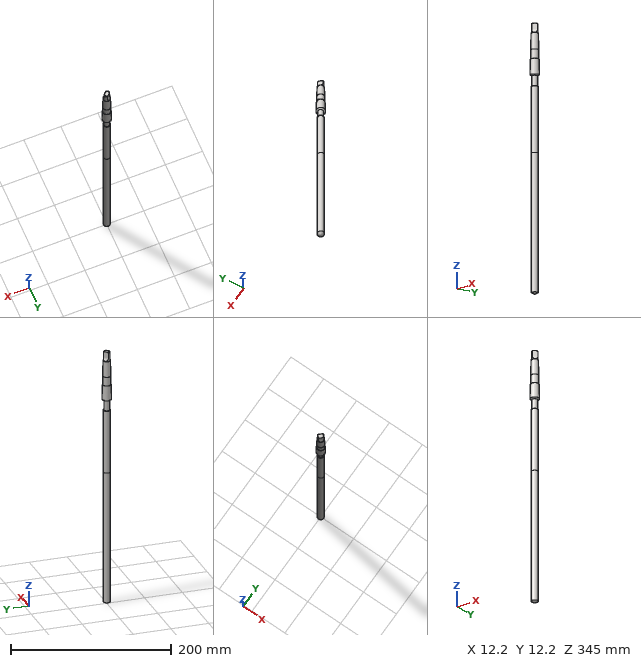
import cadquery as cq
import math

overall_length = 345.0
rod_diameter = 9.2
point_angle = 120.0
point_height = rod_diameter / 2 / math.tan(math.radians(point_angle / 2))
joint_z = 180.0
rod_top_z = 265.0
rod_top_chamfer = 0.5

neck_diameter = 7.5

taper_length = 65.5
taper_per_length = 0.04988
taper_large_diameter = 12.24
taper_bottom_z = overall_length - taper_length
underside_slope = 30.0
underside_height = (taper_large_diameter - neck_diameter) / 2 * math.tan(math.radians(underside_slope))

relief_diameter = 10.1
relief_bottom_z = 299.5
relief_top_z = 311.3

tang_length = 12.7
tang_diameter = 8.7
tang_thickness = 5.2
tang_end_chamfer = 1.0
tang_crown_height = 0.25
flat_length = 8.0
flat_runout_radius = 6.0
flat_direction = -45.0
tang_bottom_z = overall_length - tang_length
taper_small_diameter = taper_large_diameter - taper_per_length * (tang_bottom_z - taper_bottom_z)


def revolve_profile(*corners):
    """Solid turned about Z from (diameter, z) corners that start and end on the axis."""
    return (
        cq.Workplane("XZ")
        .polyline([(diameter / 2, z) for diameter, z in corners])
        .close()
        .revolve(360, (0, 0, 0), (0, 1, 0))
    )


def build_lower_rod():
    return revolve_profile(
        (0, 0),
        (rod_diameter, point_height),
        (rod_diameter, joint_z),
        (0, joint_z),
    )


def build_turned_shank():
    chamfer_end_diameter = tang_diameter - 2 * tang_end_chamfer
    crown_bottom_z = overall_length - tang_crown_height
    return revolve_profile(
        (0, joint_z),
        (rod_diameter, joint_z),
        (rod_diameter, rod_top_z - rod_top_chamfer),
        (rod_diameter - 2 * rod_top_chamfer, rod_top_z),
        (neck_diameter, rod_top_z),
        (neck_diameter, taper_bottom_z - underside_height),
        (taper_large_diameter, taper_bottom_z),
        (taper_small_diameter, tang_bottom_z),
        (tang_diameter, tang_bottom_z),
        (tang_diameter, crown_bottom_z - tang_end_chamfer),
        (chamfer_end_diameter, crown_bottom_z),
        (0, overall_length),
    )


def build_relief_cut():
    return (
        cq.Workplane("XY")
        .workplane(offset=relief_bottom_z)
        .circle(taper_large_diameter)
        .circle(relief_diameter / 2)
        .extrude(relief_top_z - relief_bottom_z)
    )


def build_flat_cut():
    """Material removed beside one flat, ending in a concave run-out toward the taper."""
    wall = tang_thickness / 2
    outer = wall + flat_runout_radius
    flat_bottom_z = overall_length - flat_length
    return (
        cq.Workplane("XZ")
        .moveTo(wall, overall_length)
        .lineTo(wall, flat_bottom_z)
        .radiusArc((outer, flat_bottom_z - flat_runout_radius), -flat_runout_radius)
        .lineTo(outer, overall_length)
        .close()
        .extrude(tang_diameter, both=True)
    )


def build_shank():
    shank = build_turned_shank().cut(build_relief_cut())
    flat_cut = build_flat_cut()
    for turn in (0, 180):
        shank = shank.cut(flat_cut.rotate((0, 0, 0), (0, 0, 1), flat_direction + turn))
    return shank


lower_rod = build_lower_rod()
shank = build_shank()

result = cq.Compound.makeCompound([lower_rod.val(), shank.val()])